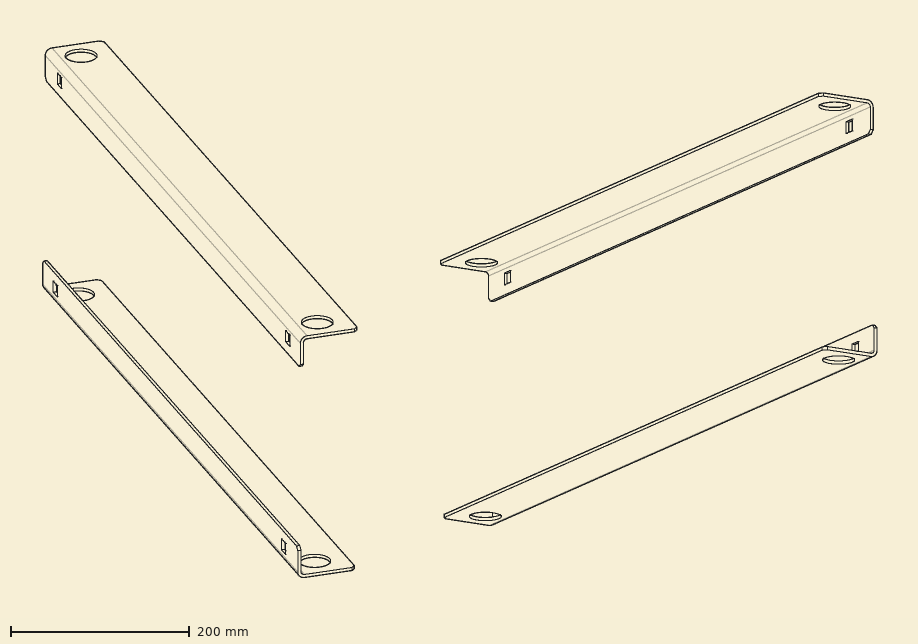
import cadquery as cq

overall_length = 850.0
overall_height = 300.0
rail_shift = 8.5

rail_length = overall_length - rail_shift
shelf_depth = 69.0
flange_height = 38.0
thickness = 3.8
bend_outer_radius = 8.0
bend_inner_radius = bend_outer_radius - thickness
corner_chamfer = 4.0

round_hole_diameter = 36.0
round_hole_end_distance = 31.5
round_hole_front_distance = 31.5

square_hole_size = 14.0
square_hole_left_distance = 42.0
square_hole_right_distance = 47.0
square_hole_height = 19.5


def bent_sheet():
    """Angle section with a rounded bend along the lower front edge and chamfered free corners."""
    shelf = cq.Workplane("XY").box(rail_length, shelf_depth, thickness, centered=False)
    flange = cq.Workplane("XY").box(rail_length, thickness, flange_height, centered=False)
    sheet = shelf.union(flange)
    sheet = sheet.edges(cq.selectors.NearestToPointSelector((rail_length / 2, 0, 0))).fillet(bend_outer_radius)
    inner_corner = (rail_length / 2, thickness, thickness)
    sheet = sheet.edges(cq.selectors.NearestToPointSelector(inner_corner)).fillet(bend_inner_radius)
    sheet = sheet.faces(">Y").edges("|Z").chamfer(corner_chamfer)
    return sheet.faces(">Z").edges("|Y").chamfer(corner_chamfer)


def shelf_hole_cutter():
    """Vertical cylinders near both ends of the shelf."""
    centers = [
        (round_hole_end_distance, round_hole_front_distance),
        (rail_length - round_hole_end_distance, round_hole_front_distance),
    ]
    return cq.Workplane("XY").pushPoints(centers).circle(round_hole_diameter / 2).extrude(thickness)


def flange_hole_cutter():
    """Square bars through the flange near both ends."""
    centers = [
        (square_hole_left_distance, square_hole_height),
        (rail_length - square_hole_right_distance, square_hole_height),
    ]
    return cq.Workplane("XZ").pushPoints(centers).rect(square_hole_size, square_hole_size).extrude(-thickness)


def make_rail():
    """Lower rail, with its outer left, front and bottom sides at zero."""
    return bent_sheet().cut(shelf_hole_cutter()).cut(flange_hole_cutter())


pivot = (overall_length / 2, 0, overall_height / 2)
pivot_axis_end = (overall_length / 2, 1, overall_height / 2)
rails = []
for turn in (0, 180):
    rails.append(make_rail().rotate(pivot, pivot_axis_end, turn).val())

result = cq.Compound.makeCompound(rails)